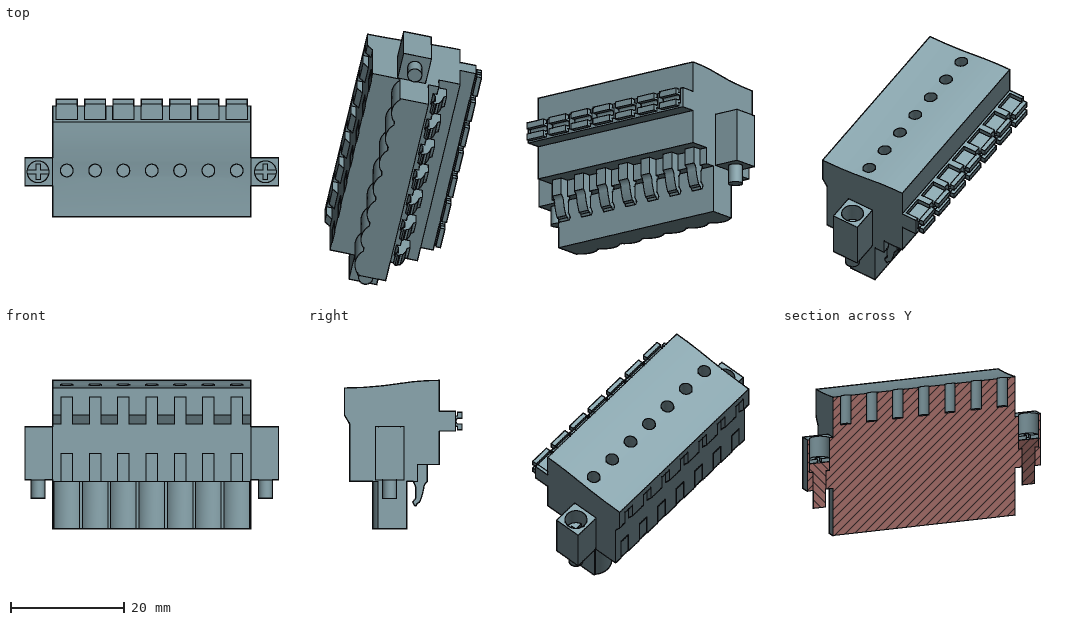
import cadquery as cq
import math

overall_length = 44.8
pole_count = 7
pole_pitch = 5.0
housing_length = pole_count * pole_pitch
pole_positions = [(i - (pole_count - 1) / 2) * pole_pitch for i in range(pole_count)]

top_z = 26.25
top_drop = 1.35
front_top_z = top_z - top_drop
rear_y = 16.75
crossover_y = 9.7
crossover_z = top_z - top_drop * (rear_y - crossover_y) / rear_y
lower_front_y = 0.95
slope_top_z = 20.05
slope_bottom_z = 18.5
housing_bottom_z = 8.4
step_y = 12.9
step_z = 11.35

plug_front_y = 5.9
plug_rear_y = 11.0
bulge_width = 4.5
bulge_depth = 0.95

block_rear_y = 19.6
block_height = 3.55
lever_z = 19.05
block_top_z = lever_z + block_height / 2

lever_width = 3.7
lever_clearance = 0.05
lever_front_y = 17.2
lever_body_height = 1.9
lever_rear_y = 20.8
lever_head_thickness = 0.85
lever_head_height = 3.15
lever_slot_height = 1.0
lever_slot_bottom_y = 19.7
lever_slot_sagitta = 0.25

wire_hole_diameter = 2.25
wire_hole_y = 8.2
wire_hole_floor_z = 20.15
slot_width = 2.0
upper_slot_top_z = 23.3
lower_slot_top_z = 13.3
lower_slot_depth = 0.1

latch_width = slot_width
latch_rear_y = 14.65
latch_front_y = 12.6
latch_root_y = 12.2
latch_root_z = 7.4
latch_shoulder_middle = (14.25, 7.95)
latch_shoulder_end = (14.0, 7.15)
latch_back_middle = (13.7, 5.82)
latch_back_end = (13.3, 4.75)
latch_heel = (12.85, 4.5)
latch_tip_rear = (12.65, 4.05)
latch_tip_front = (12.35, 4.1)
latch_barb = (12.05, 4.75)
latch_barb_top_z = 5.4

flange_length = (overall_length - housing_length) / 2
flange_depth = 5.0
flange_top_z = 18.05
flange_bottom_z = 8.65
screw_edge_distance = 2.35
screw_y = 7.97
screw_x = overall_length / 2 - screw_edge_distance
screw_head_diameter = 3.85
screw_head_top_z = 14.35
screw_head_height = 2.25
screw_shank_diameter = 2.5
screw_tip_z = 5.38
drive_slot_width = 0.7
cross_slot_width = 0.8
cross_slot_length = 2.7
drive_depth = 0.65


def box(x_center, x_size, y_min, y_max, z_min, z_max):
    """Box centred on x_center along X and spanning the given Y and Z ranges."""
    return (
        cq.Workplane("XY")
        .box(x_size, y_max - y_min, z_max - z_min, centered=(True, False, False))
        .translate((x_center, y_min, z_min))
    )


def cylinder(x, y, z_min, z_max, diameter):
    """Vertical cylinder spanning the given Z range."""
    return cq.Workplane("XY", origin=(x, y, z_min)).circle(diameter / 2).extrude(z_max - z_min)


def profile_plane(x_start):
    """Plane at x_start whose local axes are Y and Z and whose extrusions run along +X."""
    return cq.Workplane("YZ", origin=(x_start, 0, 0))


def level_arc_middle(level_end, other_end):
    """Middle point of the Y-Z arc that is level at level_end and passes through other_end."""
    span = other_end[0] - level_end[0]
    rise = other_end[1] - level_end[1]
    radius = (span**2 + rise**2) / (2 * rise)
    half_angle = math.asin(span / radius) / 2
    return (
        level_end[0] + radius * math.sin(half_angle),
        level_end[1] + radius * (1 - math.cos(half_angle)),
    )


def make_main_body():
    """Long body with an S-curved top of two tangent arcs and a stepped underside."""
    rear_end = (rear_y, top_z)
    crossover = (crossover_y, crossover_z)
    front_end = (0, front_top_z)
    return (
        profile_plane(-housing_length / 2)
        .moveTo(*front_end)
        .lineTo(0, slope_top_z)
        .lineTo(lower_front_y, slope_bottom_z)
        .lineTo(lower_front_y, housing_bottom_z)
        .lineTo(step_y, housing_bottom_z)
        .lineTo(step_y, step_z)
        .lineTo(rear_y, step_z)
        .lineTo(*rear_end)
        .threePointArc(level_arc_middle(rear_end, crossover), crossover)
        .threePointArc(level_arc_middle(front_end, crossover), front_end)
        .close()
        .extrude(housing_length)
    )


def make_plug_bulge(x):
    """Rounded front of the plug at one pole."""
    return (
        cq.Workplane("XY")
        .moveTo(x - bulge_width / 2, plug_front_y)
        .threePointArc((x, plug_front_y - bulge_depth), (x + bulge_width / 2, plug_front_y))
        .lineTo(x + bulge_width / 2, plug_rear_y)
        .lineTo(x - bulge_width / 2, plug_rear_y)
        .close()
        .extrude(housing_bottom_z)
    )


def make_latch(x):
    """Springy hook that hangs from the rear step at one pole."""
    return (
        profile_plane(x - latch_width / 2)
        .moveTo(latch_rear_y, step_z)
        .lineTo(latch_rear_y, housing_bottom_z)
        .threePointArc(latch_shoulder_middle, latch_shoulder_end)
        .threePointArc(latch_back_middle, latch_back_end)
        .lineTo(*latch_heel)
        .lineTo(*latch_tip_rear)
        .lineTo(*latch_tip_front)
        .lineTo(*latch_barb)
        .lineTo(latch_front_y, latch_barb_top_z)
        .lineTo(latch_front_y, latch_root_z)
        .lineTo(latch_root_y, housing_bottom_z)
        .lineTo(latch_root_y, step_z)
        .close()
        .extrude(latch_width)
    )


def make_flange(side):
    """Side flange with a stepped bore for its screw; side is -1 or 1."""
    flange = box(
        side * (overall_length - flange_length) / 2,
        flange_length,
        screw_y - flange_depth / 2,
        screw_y + flange_depth / 2,
        flange_bottom_z,
        flange_top_z,
    )
    head_seat_z = screw_head_top_z - screw_head_height
    head_bore = cylinder(side * screw_x, screw_y, head_seat_z, flange_top_z, screw_head_diameter)
    shank_bore = cylinder(side * screw_x, screw_y, flange_bottom_z, head_seat_z, screw_shank_diameter)
    return flange.cut(head_bore).cut(shank_bore)


def make_housing():
    """Terminal housing with plug, latches, flanges, lever block and all openings."""
    housing = make_main_body()
    block_bottom_z = lever_z - block_height / 2
    plug = box(0, housing_length, plug_front_y, plug_rear_y, 0, housing_bottom_z)
    rear_block = box(0, housing_length, rear_y, block_rear_y, block_bottom_z, block_top_z)
    housing = housing.union(plug).union(rear_block)
    for side in (-1, 1):
        housing = housing.union(make_flange(side))
    pocket_width = lever_width + 2 * lever_clearance
    pocket_floor_z = lever_z - lever_body_height / 2
    lower_slot_floor_y = lower_front_y + lower_slot_depth
    for x in pole_positions:
        pocket = box(x, pocket_width, lever_front_y, block_rear_y, pocket_floor_z, block_top_z)
        wire_hole = cylinder(x, wire_hole_y, wire_hole_floor_z, top_z, wire_hole_diameter)
        upper_slot = box(x, slot_width, 0, lower_front_y, slope_bottom_z, upper_slot_top_z)
        lower_slot = box(
            x, slot_width, lower_front_y, lower_slot_floor_y, housing_bottom_z, lower_slot_top_z
        )
        housing = housing.union(make_plug_bulge(x)).union(make_latch(x))
        for opening in (pocket, wire_hole, upper_slot, lower_slot):
            housing = housing.cut(opening)
    return housing


def make_lever(x):
    """Release lever with a flat body in its pocket and a taller slotted head behind the block."""
    body_z = (lever_z - lever_body_height / 2, lever_z + lever_body_height / 2)
    head_z = (lever_z - lever_head_height / 2, lever_z + lever_head_height / 2)
    head_front_y = lever_rear_y - lever_head_thickness
    body = box(x, lever_width, lever_front_y, head_front_y, *body_z)
    head = box(x, lever_width, head_front_y, lever_rear_y, *head_z)
    slot_shoulder_y = lever_slot_bottom_y + lever_slot_sagitta
    slot_bottom_z = lever_z - lever_slot_height / 2
    slot_top_z = lever_z + lever_slot_height / 2
    slot = (
        profile_plane(x - lever_width / 2)
        .moveTo(lever_rear_y, slot_bottom_z)
        .lineTo(slot_shoulder_y, slot_bottom_z)
        .threePointArc((lever_slot_bottom_y, lever_z), (slot_shoulder_y, slot_top_z))
        .lineTo(lever_rear_y, slot_top_z)
        .close()
        .extrude(lever_width)
    )
    return body.union(head).cut(slot)


def make_screw(x):
    """Flange screw with a full-width slot crossed by a shorter one."""
    head_seat_z = screw_head_top_z - screw_head_height
    head = cylinder(x, screw_y, head_seat_z, screw_head_top_z, screw_head_diameter)
    shank = cylinder(x, screw_y, screw_tip_z, head_seat_z, screw_shank_diameter)
    drive_center = (x, screw_y, screw_head_top_z - drive_depth / 2)
    drive_slot = cq.Workplane("XY").box(screw_head_diameter, drive_slot_width, drive_depth)
    cross_slot = cq.Workplane("XY").box(cross_slot_width, cross_slot_length, drive_depth)
    drive = drive_slot.union(cross_slot).translate(drive_center)
    return head.union(shank).cut(drive)


housing = make_housing()
levers = [make_lever(x) for x in pole_positions]
screws = [make_screw(side * screw_x) for side in (-1, 1)]

result = cq.Compound.makeCompound(
    [housing.val(), *[lever.val() for lever in levers], *[screw.val() for screw in screws]]
)